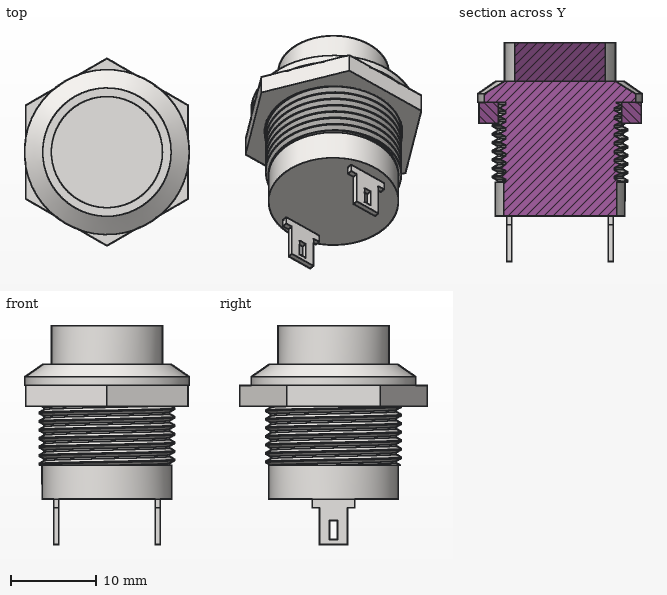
import cadquery as cq
import math

shoulder_z = 4.3
base_bottom_z = 5.3
base_top_z = 9.3
nut_bottom_z = 16.15
nut_top_z = 18.6
rim_top_z = 19.6
bezel_top_z = 21.1
button_top_z = 25.6

base_diameter = 15.2
bezel_diameter = 19.3
bezel_top_diameter = 15.03
button_diameter = 13.0

major_diameter = 15.87
root_diameter = 14.75
pitch = 1.0
crest_flat = pitch / 8
flank_tangent = math.tan(math.radians(30))
crest_z = 9.9
root_sink = 0.1

nut_corner_diameter = 21.95
nut_bore_diameter = 16.15

terminal_offset = 5.95
terminal_thickness = 0.61
shoulder_width = 5.0
blade_width = 3.28
slot_width = 0.92
slot_height = 2.18
slot_bottom_z = 0.61


def cylinder(diameter, bottom, top):
    """Upright cylinder on the Z axis between two heights."""
    return cq.Workplane("XY").workplane(offset=bottom).circle(diameter / 2).extrude(top - bottom)


def make_thread_ridge():
    """Helical ridge that starts below the barrel and ends above it."""
    inner_radius = root_diameter / 2 - root_sink
    outer_radius = major_diameter / 2
    crest_half = crest_flat / 2
    foot_half = crest_half + (outer_radius - inner_radius) * flank_tangent
    start_z = crest_z - 2 * pitch
    turns = math.ceil((nut_top_z - start_z) / pitch) + 1
    helix = cq.Wire.makeHelix(pitch, turns * pitch, inner_radius, center=cq.Vector(0, 0, start_z))
    return (
        cq.Workplane("XZ")
        .moveTo(inner_radius, start_z - foot_half)
        .lineTo(outer_radius, start_z - crest_half)
        .lineTo(outer_radius, start_z + crest_half)
        .lineTo(inner_radius, start_z + foot_half)
        .close()
        .sweep(cq.Workplane(helix), isFrenet=True)
    )


def make_barrel():
    """Threaded barrel, trimmed flat at the base and at the bezel."""
    core = cylinder(root_diameter, base_bottom_z, bezel_top_z)
    trim = cylinder(bezel_diameter, base_top_z, nut_top_z)
    return core.union(make_thread_ridge()).intersect(trim)


def make_bezel():
    """Round rim with a conical top edge."""
    profile = (
        cq.Workplane("XZ")
        .moveTo(0, nut_top_z)
        .lineTo(bezel_diameter / 2, nut_top_z)
        .lineTo(bezel_diameter / 2, rim_top_z)
        .lineTo(bezel_top_diameter / 2, bezel_top_z)
        .lineTo(0, bezel_top_z)
        .close()
    )
    return profile.revolve(360, (0, 0, 0), (0, 1, 0))


def make_housing():
    """Base, threaded barrel and bezel as one solid."""
    base = cylinder(base_diameter, base_bottom_z, base_top_z)
    housing = make_barrel().union(base).union(make_bezel())
    return cq.Workplane("XY").newObject(housing.solids().vals())


def make_nut():
    """Hexagonal nut under the bezel, with two corners on the Y axis."""
    height = nut_top_z - nut_bottom_z
    hexagon = cq.Workplane("XY").polygon(6, nut_corner_diameter).extrude(height)
    hexagon = hexagon.rotate((0, 0, 0), (0, 0, 1), 90).translate((0, 0, nut_bottom_z))
    return hexagon.cut(cylinder(nut_bore_diameter, nut_bottom_z, nut_top_z))


def make_plate(x, width, bottom, top):
    """Upright plate of terminal thickness, centred on the given X."""
    plate = cq.Workplane("XY").box(terminal_thickness, width, top - bottom, centered=(True, True, False))
    return plate.translate((x, 0, bottom))


def make_terminal(x):
    """Solder terminal: slotted blade with a wider shoulder under the base."""
    blade = make_plate(x, blade_width, 0, base_bottom_z)
    shoulder = make_plate(x, shoulder_width, shoulder_z, base_bottom_z)
    slot = make_plate(x, slot_width, slot_bottom_z, slot_bottom_z + slot_height)
    return blade.union(shoulder).cut(slot)


housing = make_housing()
nut = make_nut()
button = cylinder(button_diameter, bezel_top_z, button_top_z)
terminals = [make_terminal(side * terminal_offset).val() for side in (-1, 1)]

result = cq.Compound.makeCompound([housing.val(), nut.val(), button.val(), *terminals])